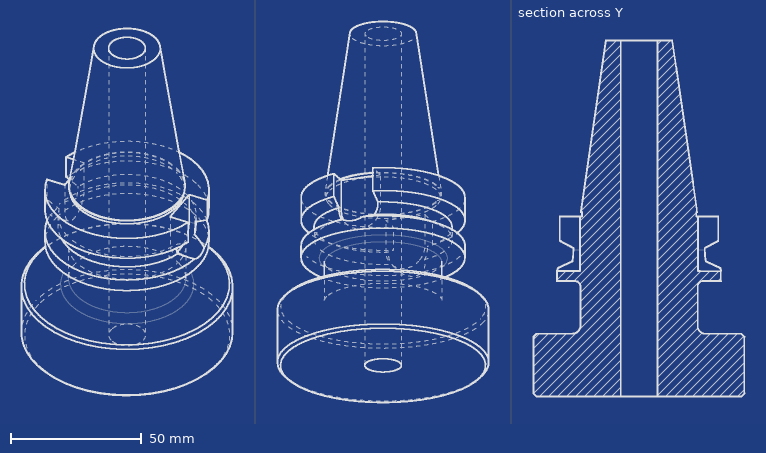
import cadquery as cq

total_height = 136.4
base_height = 24.1
flange_bottom = 44.2
lower_cone_start = 49.2
groove_bottom = 51.8
groove_top = 56.9
upper_cone_end = 59.6
flange_top = 69.0
slot_bottom = 48.1

base_diameter = 81.0
neck_diameter = 45.0
flange_diameter = 62.9
groove_diameter = 52.9
collar_diameter = 43.9
gauge_diameter = 44.6
bore_diameter = 14.0

taper_length = 65.3
taper_ratio = 7 / 24
gauge_height = total_height - taper_length
tip_diameter = gauge_diameter - taper_length * taper_ratio

base_chamfer = 1.2
lower_neck_fillet = 3.0
upper_neck_fillet = 2.0
gauge_rim_height = 0.4

slot_width = 16.1
slot_floor_distance = 22.6


def make_body():
    """Turn the whole outline about the Z axis."""
    base_radius = base_diameter / 2
    neck_radius = neck_diameter / 2
    flange_radius = flange_diameter / 2
    groove_radius = groove_diameter / 2
    collar_radius = collar_diameter / 2
    gauge_radius = gauge_diameter / 2
    rim_bottom = gauge_height - gauge_rim_height
    return (
        cq.Workplane("XZ")
        .lineTo(base_radius - base_chamfer, 0)
        .lineTo(base_radius, base_chamfer)
        .lineTo(base_radius, base_height - base_chamfer)
        .lineTo(base_radius - base_chamfer, base_height)
        .lineTo(neck_radius + lower_neck_fillet, base_height)
        .radiusArc((neck_radius, base_height + lower_neck_fillet), lower_neck_fillet)
        .lineTo(neck_radius, flange_bottom - upper_neck_fillet)
        .radiusArc((neck_radius + upper_neck_fillet, flange_bottom), upper_neck_fillet)
        .lineTo(flange_radius, flange_bottom)
        .lineTo(flange_radius, lower_cone_start)
        .lineTo(groove_radius, groove_bottom)
        .lineTo(groove_radius, groove_top)
        .lineTo(flange_radius, upper_cone_end)
        .lineTo(flange_radius, flange_top)
        .lineTo(collar_radius, flange_top)
        .lineTo(collar_radius, rim_bottom)
        .lineTo(gauge_radius, rim_bottom)
        .lineTo(gauge_radius, gauge_height)
        .lineTo(tip_diameter / 2, total_height)
        .lineTo(0, total_height)
        .close()
        .revolve(360, (0, 0, 0), (0, 1, 0))
    )


def make_bore():
    """Straight hole through the full height."""
    return cq.Workplane("XY").circle(bore_diameter / 2).extrude(total_height)


def make_drive_slot(side):
    """Round-ended slot, open at the flange top, on the +X (1) or -X (-1) side."""
    half_width = slot_width / 2
    round_center = slot_bottom + half_width
    slot_depth = flange_diameter / 2 - slot_floor_distance
    return (
        cq.Workplane("YZ", origin=(side * slot_floor_distance, 0, 0))
        .moveTo(-half_width, flange_top)
        .lineTo(-half_width, round_center)
        .threePointArc((0, slot_bottom), (half_width, round_center))
        .lineTo(half_width, flange_top)
        .close()
        .extrude(side * slot_depth)
    )


result = make_body().cut(make_bore())
for side in (1, -1):
    result = result.cut(make_drive_slot(side))